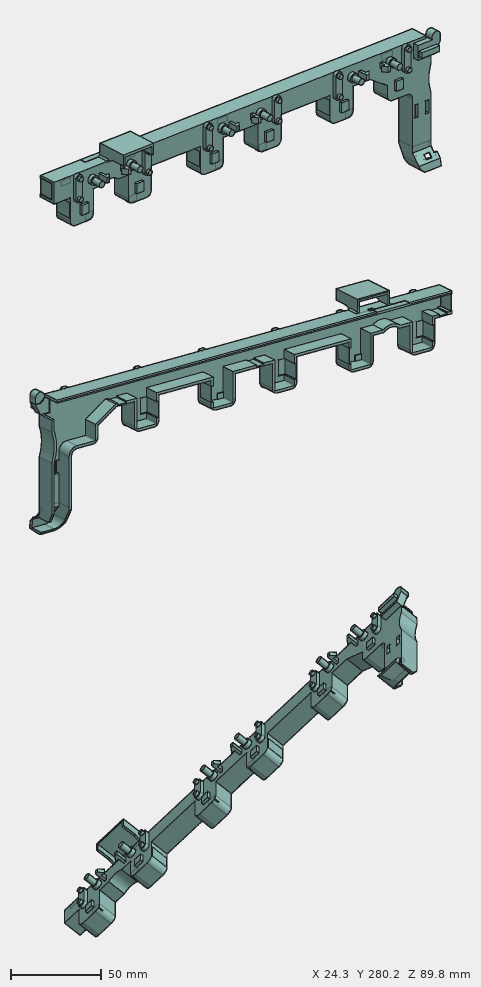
import cadquery as cq
import math

DEPTH = 11.8
WALL = 1.7
WEB = 2.3
WEB_X = DEPTH - WEB
RAIL_END = 272.7
RAIL_BOTTOM = -13.6
END_WALL = 0.6
END_RECESS = 0.3
EDGE_BREAK_X = 0.3
EDGE_BREAK_Z = 0.85

MODULE_COUNT = 3
MODULE_PITCH = 95.2
FIRST_MODULE = 41.7
MODULE_CENTRES = [FIRST_MODULE + i * MODULE_PITCH for i in range(MODULE_COUNT)]
SIDES = (1, -1)

LEG_OFFSET = 21.2
LEG_HALF_WIDTH = 8.5
LEG_BOTTOM = -32.1
LEG_CORNER = 3.6
INNER_CORNER = 0.2
LEG_FLOOR_TOP = LEG_BOTTOM + WALL

ARM_NEAR = 262.8
ARM_FAR = 276.5
ARM_TOP = -11.0
ARM_STRAIGHT_END = -73.0
DENT_TOP = -18.2
DENT_BOTTOM = -36.6
DENT_DEPTH = 1.6
FOOT_TOP = -66.0
FOOT_BOTTOM = -81.4
LEAN_START = -67.6


def block(x0, x1, y0, y1, z0, z1):
    """Axis-aligned block between opposite corners."""
    return cq.Workplane("XY").box(x1 - x0, y1 - y0, z1 - z0, centered=False).translate((x0, y0, z0))


def join(body, parts):
    """Fuse several parts onto the body in one step."""
    return cq.Workplane(body.val().fuse(*[part.val() for part in parts]))


def rod(x0, x1, y, z, radius):
    """Cylinder along X."""
    return cq.Workplane("YZ", origin=(x0, y, z)).circle(radius).extrude(x1 - x0)


def arc_sag(radius):
    """Inset of a quarter arc's middle from each of its two tangent lines."""
    return radius * (1 - math.sqrt(0.5))


def draw_leg(path, centre, corner):
    """Continue the outline around one hanging leg, towards +Y."""
    near = centre - LEG_HALF_WIDTH
    far = centre + LEG_HALF_WIDTH
    sag = arc_sag(corner)
    return (
        path.lineTo(near, RAIL_BOTTOM)
        .lineTo(near, LEG_BOTTOM + corner)
        .threePointArc((near + sag, LEG_BOTTOM + sag), (near + corner, LEG_BOTTOM))
        .lineTo(far - corner, LEG_BOTTOM)
        .threePointArc((far - sag, LEG_BOTTOM + sag), (far, LEG_BOTTOM + corner))
        .lineTo(far, RAIL_BOTTOM)
    )


def channel_outline(corner):
    """Closed side outline of the rail, its legs and the straight part of the arm.

    The lower corners of the legs are rounded to the given radius.
    """
    arch_half_width = 5.3
    arch_rise = 2.0
    brace_start = (231.8, RAIL_BOTTOM)
    brace_end = (244.5, -21.7)
    shoulder_radius = 3.7
    shoulder_sag = arc_sag(shoulder_radius)
    shoulder_end = LEG_BOTTOM - shoulder_radius
    last_leg_near = brace_end[0]
    sag = arc_sag(corner)

    path = cq.Workplane("YZ").moveTo(0, 0).lineTo(0, RAIL_BOTTOM)
    path = draw_leg(path, FIRST_MODULE - LEG_OFFSET, corner)
    path = (
        path.lineTo(FIRST_MODULE - arch_half_width, RAIL_BOTTOM)
        .threePointArc(
            (FIRST_MODULE, RAIL_BOTTOM + arch_rise), (FIRST_MODULE + arch_half_width, RAIL_BOTTOM)
        )
    )
    path = draw_leg(path, FIRST_MODULE + LEG_OFFSET, corner)
    for leg_centre in (
        MODULE_CENTRES[1] - LEG_OFFSET,
        MODULE_CENTRES[1] + LEG_OFFSET,
        MODULE_CENTRES[2] - LEG_OFFSET,
    ):
        path = draw_leg(path, leg_centre, corner)
    return (
        path.lineTo(*brace_start)
        .lineTo(*brace_end)
        .lineTo(last_leg_near, LEG_BOTTOM + corner)
        .threePointArc(
            (last_leg_near + sag, LEG_BOTTOM + sag), (last_leg_near + corner, LEG_BOTTOM)
        )
        .lineTo(ARM_NEAR - shoulder_radius, LEG_BOTTOM)
        .threePointArc(
            (ARM_NEAR - shoulder_sag, LEG_BOTTOM - shoulder_sag), (ARM_NEAR, shoulder_end)
        )
        .lineTo(ARM_NEAR, ARM_STRAIGHT_END)
        .lineTo(ARM_FAR, ARM_STRAIGHT_END)
        .lineTo(ARM_FAR, DENT_BOTTOM)
        .threePointArc(
            (ARM_FAR - DENT_DEPTH, (DENT_TOP + DENT_BOTTOM) / 2), (ARM_FAR, DENT_TOP)
        )
        .lineTo(ARM_FAR, ARM_TOP)
        .lineTo(RAIL_END, ARM_TOP)
        .lineTo(RAIL_END, 0)
        .close()
    )


def make_channel():
    """Web plus the rim that follows its outline, open towards -X."""
    body = channel_outline(LEG_CORNER).extrude(DEPTH)
    cavity = channel_outline(INNER_CORNER + WALL).offset2D(-WALL, "intersection").extrude(WEB_X)
    flange_gap = (RAIL_BOTTOM + WALL, -WALL)
    end_cavity = block(0, WEB_X, END_RECESS + END_WALL, 2 * WALL, *flange_gap)
    end_recess = block(0, WEB_X, 0, END_RECESS, *flange_gap)
    return body.cut(cavity).cut(end_cavity).cut(end_recess)


def cut_far_corner(body):
    """Open the channel's upper far corner below the top flange, where the latch sits."""
    corner_start = 270.5
    corner = block(0, DEPTH, corner_start, ARM_FAR, ARM_TOP, -WALL)
    rim_start = corner_start - WALL
    top_rim = block(0, WEB_X, rim_start, ARM_FAR - WALL, ARM_TOP - 2 * WALL, ARM_TOP)
    return body.cut(corner).cut(top_rim)


def cut_top_flange(body):
    """Slope the flange's free edge and sink a shallow strip next to the bracket."""
    strip_start, strip_end = 29.3, 52.0
    strip_depth = 0.3
    for start, end in ((0, strip_start), (strip_end, RAIL_END)):
        wedge = (
            cq.Workplane("XZ", origin=(0, start, 0))
            .polyline([(0, 0), (EDGE_BREAK_X, 0), (0, -EDGE_BREAK_Z)])
            .close()
            .extrude(start - end)
        )
        body = body.cut(wedge)
    return body.cut(block(0, BRACKET_X0, strip_start, strip_end, -strip_depth, 0))


def flange_pads():
    """Small pads in the corner between the web and the top flange."""
    pad_x = 8.0
    pad_bottom = -4.2
    bracket_pad_bottom = -3.4
    spans = [
        (4.9, 12.2, pad_bottom),
        (49.2, 59.3, bracket_pad_bottom),
        (119.9, 127.2, pad_bottom),
        (240.0, 248.0, pad_bottom),
    ]
    return [block(pad_x, DEPTH, start, end, bottom, -WALL / 2) for start, end, bottom in spans]


def cut_flange_grooves(body):
    """Shallow grooves across the upper face of the lower flange."""
    depth = WALL / 2
    top = RAIL_BOTTOM + WALL
    spans = [(3.1, 8.8), (130.0, 135.0), (224.8, 230.7)]
    for start, end in spans:
        body = body.cut(block(0, WEB_X, start, end, top - depth, top))
    return body


WINDOW_DEPTH = 5.6
WINDOW_TOP = -17.3
WINDOW_BOTTOM = -27.0
WINDOW_SKIN = 0.5
WINDOW_WEB_DEPTH = 1.0
PAD_WIDTH = 4.2
PAD_REACH = 0.8


def leg_window(module, side):
    """Recess in the leg's outer wall and in the web beside it."""
    face = module + side * (LEG_OFFSET + LEG_HALF_WIDTH - WINDOW_SKIN)
    inner = module + side * (LEG_OFFSET + LEG_HALF_WIDTH - WINDOW_DEPTH)
    return block(
        0, WEB_X + WINDOW_WEB_DEPTH, min(face, inner), max(face, inner), WINDOW_BOTTOM, WINDOW_TOP
    )


def leg_pad(module, side):
    """Low pad on the leg floor, against the web and the wall facing the module's middle."""
    wall = module + side * (LEG_OFFSET - LEG_HALF_WIDTH + WALL / 2)
    end = wall + side * (PAD_WIDTH + WALL / 2)
    return block(
        WEB_X - PAD_REACH, DEPTH, min(wall, end), max(wall, end), LEG_FLOOR_TOP - WALL / 2, WINDOW_BOTTOM
    )


STUD_OFFSET, STUD_Z = 14.0, -7.2
STUD_TIP_X, STUD_RADIUS = 20.5, 2.0
COLLAR_X, COLLAR_RADIUS = 14.4, 2.9
PEG_OFFSET = 25.2
PEG_HEIGHTS = (-2.1, -14.8)
PEG_BOSS_X, PEG_TIP_X = 14.2, 16.0
PEG_RADIUS = 1.5
HOOK_OFFSET = 7.9
BOSS_OFFSET = 20.1


def make_stud(y):
    """Long locating stud on a collar."""
    collar = rod(DEPTH, COLLAR_X, y, STUD_Z, COLLAR_RADIUS)
    return collar.union(rod(DEPTH, STUD_TIP_X, y, STUD_Z, STUD_RADIUS))


def make_peg_pair(y):
    """Upright rounded boss carrying two short pegs."""
    upper, lower = PEG_HEIGHTS
    boss_radius = 2.4
    boss = (
        cq.Workplane("YZ", origin=(DEPTH, y, (upper + lower) / 2))
        .slot2D(upper - lower + 2 * boss_radius, 2 * boss_radius, 90)
        .extrude(PEG_BOSS_X - DEPTH)
    )
    for z in PEG_HEIGHTS:
        boss = boss.union(rod(DEPTH, PEG_TIP_X, y, z, PEG_RADIUS))
    return boss


def make_hook(y, inward):
    """Snap hook whose barb points towards the module's middle."""
    half_thickness = 0.9
    tip_x, barb_x = 18.6, 15.6
    barb = 2.4
    bottom, height = -9.0, 3.6
    back = y - inward * half_thickness
    front = y + inward * half_thickness
    return (
        cq.Workplane("XY", origin=(0, 0, bottom))
        .polyline([
            (DEPTH, back), (tip_x, back), (tip_x, front),
            (barb_x, front + inward * barb), (barb_x, front), (DEPTH, front),
        ])
        .close()
        .extrude(height)
    )


def make_leg_boss(y):
    """Flat boss on the outside of a leg."""
    half_width = 2.6
    boss_x = 13.5
    bottom, top = -26.3, -20.0
    return block(DEPTH, boss_x, y - half_width, y + half_width, bottom, top)


def module_fixings(module):
    """All fixing features of one module, mirrored about its middle."""
    parts = []
    for side in SIDES:
        parts.append(make_stud(module + side * STUD_OFFSET))
        parts.append(make_peg_pair(module + side * PEG_OFFSET))
        parts.append(make_hook(module + side * HOOK_OFFSET, -side))
        parts.append(make_leg_boss(module + side * BOSS_OFFSET))
    return parts


BRACKET_X0, BRACKET_X1 = 4.2, 24.3
BRACKET_Y0, BRACKET_Y1 = 40.0, 62.1
BRACKET_TOP = 8.4


def make_bracket():
    """Inverted U standing on the rail and overhanging it towards +X."""
    side_wall = 1.2
    roof = 1.7
    overhang_x, overhang_z = 15.4, 1.5
    corner = 0.5
    foot = 1.0
    profile = (
        cq.Workplane("XZ", origin=(0, BRACKET_Y1, 0))
        .polyline([
            (BRACKET_X0, -WALL / 2), (DEPTH, -WALL / 2), (DEPTH, 0), (overhang_x, overhang_z),
            (BRACKET_X1, overhang_z), (BRACKET_X1, BRACKET_TOP),
            (BRACKET_X0 + corner, BRACKET_TOP), (BRACKET_X0, BRACKET_TOP - corner),
        ])
        .close()
        .extrude(BRACKET_Y1 - BRACKET_Y0)
    )
    opening = block(
        BRACKET_X0, BRACKET_X1, BRACKET_Y0 + side_wall, BRACKET_Y1 - side_wall, 0, BRACKET_TOP - roof
    )
    bracket = profile.cut(opening)
    for edge, outward in ((BRACKET_Y0, -1), (BRACKET_Y1, 1)):
        toe = edge + outward * foot
        sloped_foot = (
            cq.Workplane("YZ", origin=(BRACKET_X0, 0, 0))
            .polyline([(edge, -foot), (toe, -foot), (toe, 0), (edge, foot)])
            .close()
            .extrude(DEPTH - BRACKET_X0)
        )
        bracket = bracket.union(sloped_foot)
    return bracket


def make_stop_tab():
    """Small raised tab on the rail at the bracket's open edge."""
    length, width, height = 1.5, 2.6, 0.9
    x0, y0 = 3.0, 52.0
    return block(x0, x0 + length, y0, y0 + width, -WALL / 2, height)


KNOB_RADIUS = 3.1
LATCH_END = 280.2
KNOB_Y = LATCH_END - KNOB_RADIUS
KNOB_Z = -0.4
LATCH_X1 = 15.4


def make_latch():
    """Round knob on a plate behind the web, with a bar beside it."""
    plate_end = 263.7
    knob_x0 = 10.0
    plate_x0 = 10.5
    lip_bottom = -4.0
    base_inset = 1.0
    bar_x1 = 18.0
    bar_overlap = 0.3
    bar_start, bar_end = 264.3, 277.4
    bar_bottom, bar_top = -9.0, -5.4
    plate = (
        cq.Workplane("YZ", origin=(plate_x0, 0, 0))
        .polyline([
            (plate_end, -WALL), (KNOB_Y - KNOB_RADIUS, -WALL), (KNOB_Y, KNOB_Z),
            (LATCH_END, KNOB_Z), (LATCH_END, lip_bottom), (ARM_FAR, ARM_TOP),
            (plate_end, ARM_TOP),
        ])
        .close()
        .extrude(LATCH_X1 - plate_x0)
    )
    knob = rod(knob_x0, LATCH_X1, KNOB_Y, KNOB_Z, KNOB_RADIUS)
    knob_base = block(
        knob_x0, LATCH_X1, KNOB_Y - base_inset, LATCH_END, lip_bottom, KNOB_Z
    )
    bar = block(LATCH_X1 - bar_overlap, bar_x1, bar_start, bar_end, bar_bottom, bar_top)
    return plate.union(knob).union(knob_base).union(bar)


def cut_arm_windows(body):
    """Two windows through the arm's web, one against each rim."""
    width = 2.4
    bottom, top = -48.6, -40.6
    for start in (ARM_NEAR + WALL, ARM_FAR - WALL - width):
        body = body.cut(block(WEB_X, DEPTH, start, start + width, bottom, top))
    return body


def make_foot():
    """Foot of the arm, leaning towards +X and curling under towards +Y."""
    start = FOOT_TOP
    radius = 7.0
    far = 278.6
    sag = arc_sag(radius)
    rim_sag = WALL + arc_sag(radius - WALL)
    inner_near = ARM_NEAR + WALL
    inner_bottom = FOOT_BOTTOM + WALL
    lean_width = 20.0

    outer_curve = (
        cq.Workplane("YZ")
        .moveTo(ARM_NEAR, start)
        .lineTo(ARM_NEAR, FOOT_BOTTOM + radius)
        .threePointArc((ARM_NEAR + sag, FOOT_BOTTOM + sag), (ARM_NEAR + radius, FOOT_BOTTOM))
        .lineTo(far, FOOT_BOTTOM)
    )
    filled = (
        outer_curve.lineTo(far, ARM_STRAIGHT_END)
        .lineTo(ARM_FAR, ARM_STRAIGHT_END)
        .lineTo(ARM_FAR, start)
        .close()
        .extrude(lean_width)
    )
    hollow = (
        cq.Workplane("YZ")
        .moveTo(inner_near, start)
        .lineTo(inner_near, FOOT_BOTTOM + radius)
        .threePointArc((ARM_NEAR + rim_sag, FOOT_BOTTOM + rim_sag), (ARM_NEAR + radius, inner_bottom))
        .lineTo(far, inner_bottom)
        .lineTo(far, start)
        .close()
        .extrude(lean_width)
    )
    rim = filled.cut(hollow)

    knee_z = -69.8
    toe_x, toe_z = 17.2, -76.0
    tip_x, tip_z = 18.0, FOOT_BOTTOM + 0.8
    inner_rise = 1.5
    sole_x0, sole_x1 = 8.0, 11.0
    heel_x, heel_z = 5.0, -76.5

    outer_edge = [(DEPTH, start), (DEPTH, knee_z), (toe_x, toe_z), (tip_x, tip_z)]
    free_edge = [
        (sole_x1, FOOT_BOTTOM), (sole_x0, FOOT_BOTTOM), (heel_x, heel_z), (0, LEAN_START), (0, start),
    ]
    web_inner_edge = [
        (tip_x - WEB, tip_z), (toe_x - WEB, toe_z + inner_rise), (WEB_X, knee_z + inner_rise), (WEB_X, start),
    ]

    def lean_prism(points):
        return cq.Workplane("XZ", origin=(0, far, 0)).polyline(points).close().extrude(far - ARM_NEAR)

    window_start, window_end = 269.6, 273.5
    window_bottom, window_top = -74.6, -72.2
    window = block(WEB_X, lean_width, window_start, window_end, window_bottom, window_top)
    leaning_rim = rim.intersect(lean_prism(outer_edge + free_edge))
    leaning_web = filled.intersect(lean_prism(outer_edge + web_inner_edge))
    return leaning_rim.union(leaning_web).cut(window)


def trim_arm_bottom(body):
    """Leave only the far rim below the foot's start and slope the rim's lower end."""
    foot_space = block(0, DEPTH, ARM_NEAR, ARM_FAR - WALL, ARM_STRAIGHT_END, FOOT_TOP)
    slope_x = 3.0
    wedge = (
        cq.Workplane("XZ", origin=(0, ARM_FAR, 0))
        .polyline([(0, LEAN_START), (slope_x, ARM_STRAIGHT_END), (0, ARM_STRAIGHT_END)])
        .close()
        .extrude(ARM_FAR - ARM_NEAR)
    )
    return body.cut(foot_space).cut(wedge)


result = make_channel()
result = cut_far_corner(result)
result = cut_top_flange(result)
result = cut_flange_grooves(result)
result = cut_arm_windows(result)
result = trim_arm_bottom(result)

braced_leg = (MODULE_CENTRES[-1], 1)
added_parts = flange_pads()
for module_centre in MODULE_CENTRES:
    for leg_side in SIDES:
        if (module_centre, leg_side) != braced_leg:
            result = result.cut(leg_window(module_centre, leg_side))
            added_parts.append(leg_pad(module_centre, leg_side))
    added_parts += module_fixings(module_centre)
added_parts += [make_foot(), make_bracket(), make_stop_tab(), make_latch()]
result = join(result, added_parts)